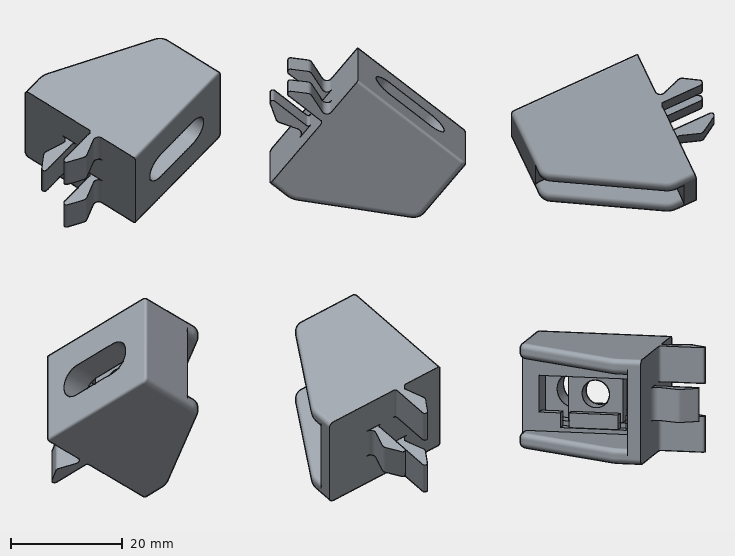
import cadquery as cq
import math

HOUSING_X = 25.0
HOUSING_Y = 25.0
HOUSING_Z = 19.0
MID_Z = HOUSING_Z / 2
SLOPE_START_Y = 5.0
SLOPE_ANGLE = math.radians(60.0)
SLOPE_END_X = (HOUSING_Y - SLOPE_START_Y) / math.tan(SLOPE_ANGLE)
LOWER_BEND_RADIUS = 4.0
UPPER_BEND_RADIUS = 2.5

PLATE_THICKNESS = 2.73
FRONT_WALL = 2.43
WALL_FACE_X = 14.53
RIM_RADIUS = 1.0
BACK_EDGE_RADIUS = 0.5
EDGE_MARGIN = 0.03

CLIP_CENTRE_X = 13.0
CLIP_LENGTH = 8.33
CLIP_INNER_HALF = 2.0
CLIP_ROOT_HALF = 3.03
CLIP_BARB_Y = -5.05
CLIP_TIP_ANGLE = math.radians(31.4)
CLIP_SMALL_RADIUS = 0.5
CLIP_LARGE_RADIUS = 1.0
CLIP_ROOT_DEPTH = 0.33
CLIP_SHARP_TIP_Y = (
    CLIP_SMALL_RADIUS - CLIP_LENGTH - CLIP_SMALL_RADIUS / math.tan(CLIP_TIP_ANGLE / 2)
)
CLIP_BARB_HALF = CLIP_INNER_HALF + (CLIP_BARB_Y - CLIP_SHARP_TIP_Y) * math.tan(CLIP_TIP_ANGLE)
MIDDLE_CLIP_Z = 6.0
SIDE_CLIP_Z = (HOUSING_Z - MIDDLE_CLIP_Z) / 2

NUT_Y = 12.0
NUT_SIDE = 10.0
NUT_THICKNESS = 3.33
NUT_BORE = 5.0

LIP_THICKNESS = 2.0
TRACK_X = WALL_FACE_X + LIP_THICKNESS
TRACK_CLEARANCE = 0.1
TRACK_Z = NUT_SIDE + 2 * TRACK_CLEARANCE
TRACK_START_Y = 3.75
TRACK_END_Y = 21.92
WINDOW_Z = 6.65
WINDOW_CHAMFER = 1.1
ENTRY_Y = 12.05
ENTRY_BOTTOM_Z = 3.5
TONGUE_Y = 9.0
TONGUE_SETBACK = 0.33
SLOT_LENGTH = 15.65
SLOT_WIDTH = 6.5


def box(x_range, y_range, z_range):
    """Block between two limits along each axis."""
    size = [high - low for low, high in (x_range, y_range, z_range)]
    corner = (x_range[0], y_range[0], z_range[0])
    return cq.Workplane("XY").box(*size, centered=False).translate(corner)


def outline_block(bottom_z, height):
    """Housing outline with rounded bends, extruded upward from bottom_z."""
    block = (
        cq.Workplane("XY", origin=(0, 0, bottom_z))
        .moveTo(0, 0)
        .lineTo(HOUSING_X, 0)
        .lineTo(HOUSING_X, HOUSING_Y)
        .lineTo(SLOPE_END_X, HOUSING_Y)
        .lineTo(0, SLOPE_START_Y)
        .close()
        .extrude(height)
    )
    mid_z = bottom_z + height / 2
    block = block.edges(cq.NearestToPointSelector((0, SLOPE_START_Y, mid_z))).fillet(LOWER_BEND_RADIUS)
    return block.edges(cq.NearestToPointSelector((SLOPE_END_X, HOUSING_Y, mid_z))).fillet(UPPER_BEND_RADIUS)


def round_rim(block):
    """Round the upper and lower edges along the left, sloped and rear sides."""
    rim = block.faces("|Z").edges().filter(
        lambda edge: edge.Center().y > EDGE_MARGIN and edge.Center().x < HOUSING_X - EDGE_MARGIN
    )
    return rim.fillet(RIM_RADIUS)


def make_shell():
    """Two rounded plates joined by the front wall and the thick wall."""
    solid_block = round_rim(outline_block(0, HOUSING_Z))
    front_wall = solid_block.intersect(box((0, HOUSING_X), (0, FRONT_WALL), (0, HOUSING_Z)))
    thick_wall = solid_block.intersect(box((WALL_FACE_X, HOUSING_X), (0, HOUSING_Y), (0, HOUSING_Z)))
    shell = front_wall.union(thick_wall)
    for plate_z in (0, HOUSING_Z - PLATE_THICKNESS):
        shell = shell.union(round_rim(outline_block(plate_z, PLATE_THICKNESS)))
    shell = shell.clean()
    back_edges = shell.faces(">X").edges().filter(lambda edge: edge.Center().y > EDGE_MARGIN)
    return back_edges.fillet(BACK_EDGE_RADIUS)


def make_clip(side, bottom_z, height):
    """Barbed clip pointing to -Y; side is 1 or -1 for a barb toward +X or -X."""
    root_inner = CLIP_INNER_HALF - CLIP_LARGE_RADIUS
    root = [
        (CLIP_BARB_HALF, 0),
        (CLIP_BARB_HALF, CLIP_ROOT_DEPTH),
        (root_inner, CLIP_ROOT_DEPTH),
        (root_inner, 0),
    ]
    arm = [
        (CLIP_INNER_HALF, 0),
        (CLIP_INNER_HALF, CLIP_SHARP_TIP_Y),
        (CLIP_BARB_HALF, CLIP_BARB_Y),
        (CLIP_ROOT_HALF, 0),
    ]
    arm_radii = [CLIP_SMALL_RADIUS, CLIP_SMALL_RADIUS, CLIP_LARGE_RADIUS, CLIP_LARGE_RADIUS]
    points = [(CLIP_CENTRE_X + side * half, y) for half, y in arm + root]
    clip = cq.Workplane("XY", origin=(0, 0, bottom_z)).polyline(points).close().extrude(height)
    for (half, y), radius in zip(arm, arm_radii):
        corner = (CLIP_CENTRE_X + side * half, y, bottom_z + height / 2)
        clip = clip.edges(cq.NearestToPointSelector(corner)).fillet(radius)
    return clip


def cut_nut_seat(housing):
    """Cut the lipped nut track, its window, the entry with its tongue, and the screw slot."""
    lip = (WALL_FACE_X, TRACK_X)
    entry_y = (NUT_Y - ENTRY_Y / 2, NUT_Y + ENTRY_Y / 2)
    tongue_y = (NUT_Y - TONGUE_Y / 2, NUT_Y + TONGUE_Y / 2)
    window_z = (MID_Z - WINDOW_Z / 2, MID_Z + WINDOW_Z / 2)
    track_z = (MID_Z - TRACK_Z / 2, MID_Z + TRACK_Z / 2)

    track = box((TRACK_X, TRACK_X + NUT_THICKNESS), (TRACK_START_Y, TRACK_END_Y), track_z)
    window = box(lip, (TRACK_START_Y, TRACK_END_Y), window_z).edges("|X and <Y").chamfer(WINDOW_CHAMFER)
    entry = box(lip, entry_y, (ENTRY_BOTTOM_Z, MID_Z))
    tongue = box((WALL_FACE_X + TONGUE_SETBACK, TRACK_X), tongue_y, (ENTRY_BOTTOM_Z, window_z[0]))
    slot = (
        cq.Workplane("YZ", origin=(TRACK_X, NUT_Y, MID_Z))
        .slot2D(SLOT_LENGTH, SLOT_WIDTH)
        .extrude(HOUSING_X - TRACK_X)
    )
    return housing.cut(track).cut(window).cut(entry.cut(tongue)).cut(slot)


def make_housing():
    """Shell with the nut seat and three snap clips."""
    housing = cut_nut_seat(make_shell())
    housing = housing.union(make_clip(-1, SIDE_CLIP_Z, MIDDLE_CLIP_Z))
    for bottom_z in (0, HOUSING_Z - SIDE_CLIP_Z):
        housing = housing.union(make_clip(1, bottom_z, SIDE_CLIP_Z))
    return housing


def make_nut():
    """Square nut with a plain bore along X."""
    return (
        cq.Workplane("YZ", origin=(TRACK_X, NUT_Y, MID_Z))
        .rect(NUT_SIDE, NUT_SIDE)
        .circle(NUT_BORE / 2)
        .extrude(NUT_THICKNESS)
    )


housing = make_housing()
nut = make_nut()

result = cq.Compound.makeCompound([housing.val(), nut.val()])